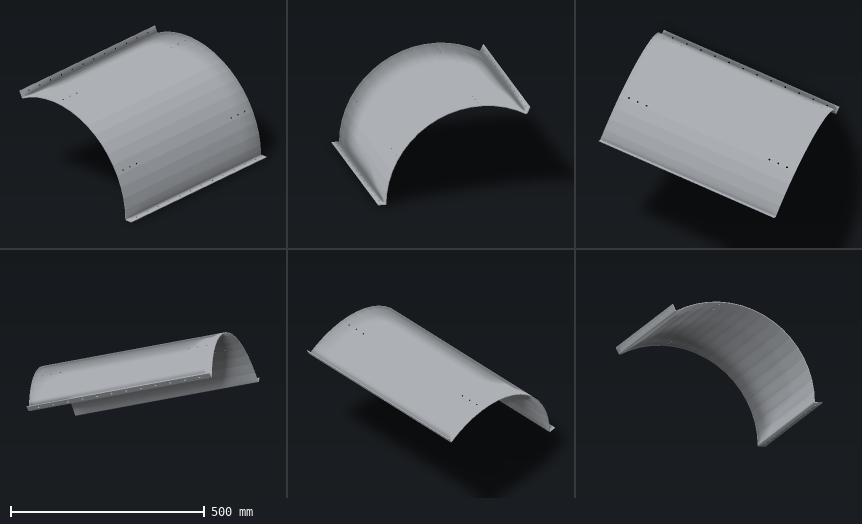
import cadquery as cq
import math

length = 500.0
thickness = 2.0
inner_corner_radius = 250.0
sweep_angle = 120.0
facet_count = 17
facet_angle = sweep_angle / facet_count
outer_corner_radius = inner_corner_radius + thickness / math.cos(math.radians(facet_angle / 2))
first_normal = facet_angle / 2
last_normal = sweep_angle - facet_angle / 2

hole_diameter = 4.9

flange_width = 22.0
bend_radius = 2.0
flange_hole_count = 12
flange_hole_pitch = 40.0
flange_hole_tip_distance = 10.0

sheet_hole_angles = (30.0, 90.0)
sheet_hole_count = 3
sheet_hole_pitch = 25.0
sheet_hole_edge_distance = 25.0

cut_margin = 5.0


def polar(radius, angle):
    """Point of the XZ plane at a distance and an angle in degrees from the axis."""
    return (radius * math.cos(math.radians(angle)), radius * math.sin(math.radians(angle)))


def move(point, distance, angle):
    """Point reached from another by going a distance in a direction in degrees."""
    step = polar(distance, angle)
    return (point[0] + step[0], point[1] + step[1])


def make_folded_sheet():
    """Faceted arch with a flange on both ends and rounded flange bends."""
    inner_corners = [polar(inner_corner_radius, i * facet_angle) for i in range(facet_count + 1)]
    outer_corners = [polar(outer_corner_radius, i * facet_angle) for i in range(1, facet_count)]

    first_heel = inner_corners[0]
    last_heel = inner_corners[-1]
    first_bend = move(move(first_heel, thickness, first_normal), thickness, first_normal + 90)
    last_bend = move(move(last_heel, thickness, last_normal), thickness, last_normal - 90)
    first_tip = move(first_heel, flange_width, first_normal)
    last_tip = move(last_heel, flange_width, last_normal)
    first_tip_front = move(first_tip, thickness, first_normal + 90)
    last_tip_front = move(last_tip, thickness, last_normal - 90)

    outline = [first_tip, first_tip_front, first_bend, *outer_corners, last_bend, last_tip_front, last_tip]
    outline += reversed(inner_corners)
    sheet = cq.Workplane("XZ").polyline(outline).close().extrude(length / 2, both=True)
    sheet = round_edges(sheet, (first_bend, last_bend), bend_radius)
    return round_edges(sheet, (first_heel, last_heel), bend_radius + thickness)


def round_edges(body, corners, radius):
    """Fillet the edges along Y that pass through the given points of the XZ plane."""
    for x, z in corners:
        edge = cq.selectors.NearestToPointSelector((x, 0, z))
        body = body.edges("|Y").edges(edge).fillet(radius)
    return body


def hole_cutter(start, direction, y):
    """Cylinder from a point of the XZ plane along a direction of that plane."""
    heading = polar(1, direction)
    depth = thickness + 2 * cut_margin
    origin = cq.Vector(start[0], y, start[1])
    return cq.Solid.makeCylinder(hole_diameter / 2, depth, origin, cq.Vector(heading[0], 0, heading[1]))


def sheet_holes():
    cutters = []
    for angle in sheet_hole_angles:
        start = polar(inner_corner_radius - cut_margin, angle)
        for i in range(sheet_hole_count):
            y = length / 2 - sheet_hole_edge_distance - i * sheet_hole_pitch
            for side in (-1, 1):
                cutters.append(hole_cutter(start, angle, side * y))
    return cutters


def flange_holes():
    cutters = []
    for end_angle, normal, drill in (
        (0, first_normal, first_normal + 90),
        (sweep_angle, last_normal, last_normal - 90),
    ):
        centre = move(polar(inner_corner_radius, end_angle), flange_width - flange_hole_tip_distance, normal)
        start = move(centre, -cut_margin, drill)
        for i in range(flange_hole_count):
            y = (i - (flange_hole_count - 1) / 2) * flange_hole_pitch
            cutters.append(hole_cutter(start, drill, y))
    return cutters


result = make_folded_sheet()
for cutter in sheet_holes() + flange_holes():
    result = result.cut(cq.Workplane(cutter))